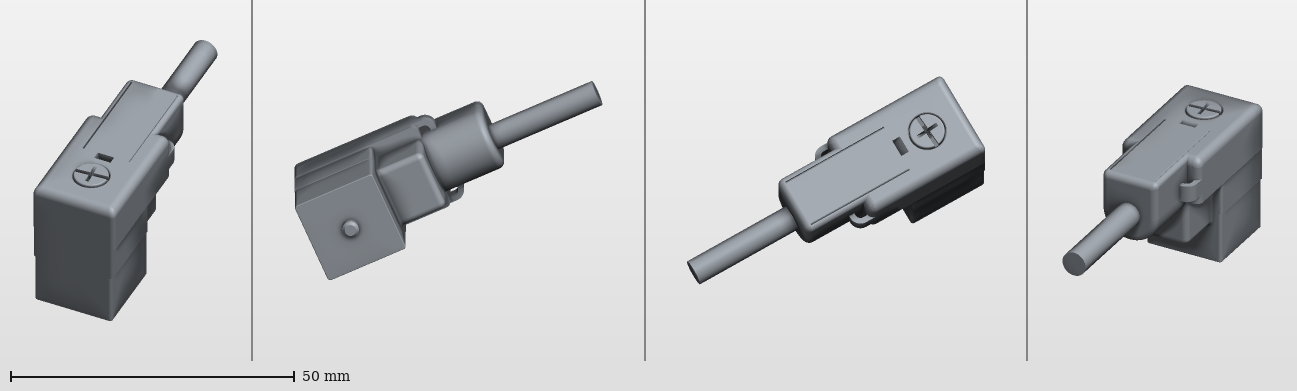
import cadquery as cq


TOP_Z = 25.3
HOOD_BOTTOM_Z = 16.3
PLUG_TOP_Z = 9.8

HOOD_HALF_WIDTH = 8.0
HOOD_LENGTH = 23.7
HOOD_TOP_FILLET = 1.6
HOOD_FRONT_FILLET = 0.9
HOOD_REAR_FILLET = 1.2

COLLAR_HALF_WIDTH = 7.65
PLUG_HALF_WIDTH = 7.5
PLUG_LENGTH = 15.0
PLUG_FRONT_FILLET = 0.6
PLUG_REAR_FILLET = 0.55
PLUG_BOTTOM_FILLET = 0.15

CABLE_AXIS_Z = 18.05
CABLE_RADIUS = 2.3
CABLE_END_Y = 55.15
SLEEVE_RADIUS = 5.5
SLEEVE_END_Y = 35.2
SLEEVE_TOP_FILLET = 0.9
SLEEVE_END_FILLET = 1.2

BLOCK_BOTTOM_Z = 7.1
BLOCK_FILLET = 1.1
BLOCK_ROOT_FILLET = 0.5

LOOP_BOTTOM_Z = CABLE_AXIS_Z
LOOP_TOP_Z = 21.2
LOOP_END_Y = 26.65
LOOP_THICKNESS = 1.05
LOOP_OUTER_FILLET = 2.05

LID_HALF_WIDTH = 4.4
LID_SIDE_GAP = 0.15
LID_SIDE_BEVEL = 0.15
LID_FRONT_Y = 13.75
LID_REAR_Y = 33.8
LID_THICKNESS = 0.5

NOTCH_HALF_WIDTH = 1.6
NOTCH_BOTTOM_HALF_WIDTH = 1.25
NOTCH_FRONT_Y = 12.2
NOTCH_DEPTH = LID_FRONT_Y - NOTCH_FRONT_Y

SCREW_Y = 7.55
SCREW_TOP_Z = 25.65
SCREW_TIP_Z = -1.9
HEAD_RADIUS = 3.15
HEAD_HEIGHT = 2.3
HEAD_FILLET = 0.3
SHANK_RADIUS = 1.5
TIP_CHAMFER = 0.5
HEAD_CLEARANCE = 0.15
HEAD_HOLE_CHAMFER = 0.15
SCREW_TURN = 4.0

SLOT_WIDTH = 0.75
SLOT_DEPTH = 0.8
CROSS_WIDTH = 0.65
CROSS_HALF_LENGTH = 2.15
CROSS_DEPTH = 2.2


def block(half_width, y_start, y_end, z_bottom, z_top):
    """Box centred on X = 0."""
    return cq.Workplane("XY").box(
        2 * half_width, y_end - y_start, z_top - z_bottom, centered=(True, False, False)
    ).translate((0, y_start, z_bottom))


def make_hood():
    hood = block(HOOD_HALF_WIDTH, 0, HOOD_LENGTH, HOOD_BOTTOM_Z, TOP_Z)
    hood = hood.faces(">Z").edges().fillet(HOOD_TOP_FILLET)
    hood = hood.edges("|Z and <Y").fillet(HOOD_FRONT_FILLET)
    return hood.edges("|Z and >Y").fillet(HOOD_REAR_FILLET)


def make_collar():
    """Hood outline continued downwards, with its sides cut back and its rear corners rounded."""
    rounded_front = block(HOOD_HALF_WIDTH, 0, PLUG_LENGTH, PLUG_TOP_Z, HOOD_BOTTOM_Z)
    rounded_front = rounded_front.edges("|Z and <Y").fillet(HOOD_FRONT_FILLET)
    narrow = block(COLLAR_HALF_WIDTH, 0, PLUG_LENGTH, PLUG_TOP_Z, HOOD_BOTTOM_Z)
    narrow = narrow.edges("|Z and >Y").fillet(PLUG_REAR_FILLET)
    return rounded_front.intersect(narrow)


def make_plug():
    plug = block(PLUG_HALF_WIDTH, 0, PLUG_LENGTH, 0, PLUG_TOP_Z)
    plug = plug.edges("|Z and <Y").fillet(PLUG_FRONT_FILLET)
    plug = plug.edges("|Z and >Y").fillet(PLUG_REAR_FILLET)
    return plug.faces("<Z").edges().fillet(PLUG_BOTTOM_FILLET)


def make_sleeve():
    """U-shaped profile that starts inside the hood, above the plug."""
    sleeve = (
        cq.Workplane("XZ", origin=(0, PLUG_LENGTH, 0))
        .moveTo(-SLEEVE_RADIUS, TOP_Z)
        .lineTo(-SLEEVE_RADIUS, CABLE_AXIS_Z)
        .threePointArc((0, CABLE_AXIS_Z - SLEEVE_RADIUS), (SLEEVE_RADIUS, CABLE_AXIS_Z))
        .lineTo(SLEEVE_RADIUS, TOP_Z)
        .close()
        .extrude(PLUG_LENGTH - SLEEVE_END_Y)
    )
    sleeve = sleeve.faces(">Y").edges().fillet(SLEEVE_END_FILLET)
    return sleeve.faces(">Z").edges("|Y").fillet(SLEEVE_TOP_FILLET)


def make_rear_block():
    rear = block(SLEEVE_RADIUS, PLUG_LENGTH, HOOD_LENGTH, BLOCK_BOTTOM_Z, HOOD_BOTTOM_Z)
    return rear.edges("(|Z and >Y) or (<Z and (not <Y))").fillet(BLOCK_FILLET)


def make_foot():
    """Collar, plug and rear block, with a rounded root where the block meets the other two."""
    foot = make_plug().union(make_collar()).union(make_rear_block())
    margin = BLOCK_ROOT_FILLET / 2
    root_edges = cq.selectors.BoxSelector(
        (-SLEEVE_RADIUS - margin, PLUG_LENGTH - margin, BLOCK_BOTTOM_Z - margin),
        (SLEEVE_RADIUS + margin, PLUG_LENGTH + margin, HOOD_BOTTOM_Z - margin),
    )
    return foot.edges(root_edges).fillet(BLOCK_ROOT_FILLET)


def make_loop():
    loop = block(HOOD_HALF_WIDTH, HOOD_LENGTH / 2, LOOP_END_Y, LOOP_BOTTOM_Z, LOOP_TOP_Z)
    loop = loop.edges("|Z and >Y").fillet(LOOP_OUTER_FILLET)
    opening = block(
        HOOD_HALF_WIDTH - LOOP_THICKNESS,
        HOOD_LENGTH,
        LOOP_END_Y - LOOP_THICKNESS,
        LOOP_BOTTOM_Z,
        LOOP_TOP_Z,
    )
    opening = opening.edges("|Z and >Y").fillet(LOOP_OUTER_FILLET - LOOP_THICKNESS)
    return loop.cut(opening)


def make_notch():
    """Cutter with a slope falling towards the lid, with side walls that lean inwards."""
    slope = (
        cq.Workplane("YZ")
        .polyline([
            (NOTCH_FRONT_Y, TOP_Z),
            (LID_FRONT_Y, TOP_Z),
            (LID_FRONT_Y, TOP_Z - NOTCH_DEPTH),
        ])
        .close()
        .extrude(NOTCH_HALF_WIDTH, both=True)
    )
    side_walls = (
        cq.Workplane("XZ", origin=(0, LID_FRONT_Y, 0))
        .polyline([
            (-NOTCH_HALF_WIDTH, TOP_Z),
            (NOTCH_HALF_WIDTH, TOP_Z),
            (NOTCH_BOTTOM_HALF_WIDTH, TOP_Z - NOTCH_DEPTH),
            (-NOTCH_BOTTOM_HALF_WIDTH, TOP_Z - NOTCH_DEPTH),
        ])
        .close()
        .extrude(LID_FRONT_Y - NOTCH_FRONT_Y)
    )
    return slope.intersect(side_walls)


def cylinder(radius, z_bottom, z_top):
    """Cylinder on the screw axis."""
    return cq.Workplane("XY", origin=(0, SCREW_Y, z_bottom)).circle(radius).extrude(z_top - z_bottom)


def make_screw_hole():
    """Cutter for the countersunk head hole and the shank hole."""
    hole_radius = HEAD_RADIUS + HEAD_CLEARANCE
    head_hole = cylinder(hole_radius, SCREW_TOP_Z - HEAD_HEIGHT, TOP_Z)
    countersink = cq.Workplane(
        cq.Solid.makeCone(
            hole_radius,
            hole_radius + HEAD_HOLE_CHAMFER,
            HEAD_HOLE_CHAMFER,
            pnt=cq.Vector(0, SCREW_Y, TOP_Z - HEAD_HOLE_CHAMFER),
        )
    )
    return head_hole.union(countersink).union(cylinder(SHANK_RADIUS, 0, TOP_Z))


def make_housing():
    housing = make_hood().union(make_foot()).union(make_sleeve()).union(make_loop())
    lid_recess = block(
        LID_HALF_WIDTH + LID_SIDE_GAP, LID_FRONT_Y, LID_REAR_Y, TOP_Z - LID_THICKNESS, TOP_Z
    )
    return housing.cut(lid_recess).cut(make_notch()).cut(make_screw_hole())


def make_lid():
    lid = block(LID_HALF_WIDTH, LID_FRONT_Y, LID_REAR_Y, TOP_Z - LID_THICKNESS, TOP_Z)
    return lid.faces(">Z").edges("|Y").chamfer(LID_SIDE_BEVEL)


def make_cable():
    return (
        cq.Workplane("XZ", origin=(0, SLEEVE_END_Y, CABLE_AXIS_Z))
        .circle(CABLE_RADIUS)
        .extrude(SLEEVE_END_Y - CABLE_END_Y)
    )


def make_cross_arms():
    """Cutter for one pair of opposite arms along X, getting shorter with depth."""
    floor_half_length = CROSS_HALF_LENGTH - SLOT_DEPTH
    return (
        cq.Workplane("XZ", origin=(0, SCREW_Y, SCREW_TOP_Z))
        .polyline([
            (-CROSS_HALF_LENGTH, 0),
            (CROSS_HALF_LENGTH, 0),
            (floor_half_length, -SLOT_DEPTH),
            (0, -CROSS_DEPTH),
            (-floor_half_length, -SLOT_DEPTH),
        ])
        .close()
        .extrude(CROSS_WIDTH / 2, both=True)
    )


def make_screw():
    head = cylinder(HEAD_RADIUS, SCREW_TOP_Z - HEAD_HEIGHT, SCREW_TOP_Z)
    head = head.faces(">Z").fillet(HEAD_FILLET)
    shank = cylinder(SHANK_RADIUS, SCREW_TIP_Z, SCREW_TOP_Z - HEAD_HEIGHT)
    shank = shank.faces("<Z").chamfer(TIP_CHAMFER)
    screw = head.union(shank)

    slot = cq.Workplane("XY", origin=(0, SCREW_Y, SCREW_TOP_Z - SLOT_DEPTH / 2)).box(
        2 * HEAD_RADIUS, SLOT_WIDTH, SLOT_DEPTH
    )
    screw = screw.cut(slot)
    axis_start = (0, SCREW_Y, 0)
    axis_end = (0, SCREW_Y, 1)
    for angle in (0, 90):
        screw = screw.cut(make_cross_arms().rotate(axis_start, axis_end, angle))
    return screw.rotate(axis_start, axis_end, SCREW_TURN)


housing = make_housing()
cable = make_cable()
lid = make_lid()
screw = make_screw()

result = cq.Compound.makeCompound([housing.val(), cable.val(), lid.val(), screw.val()])